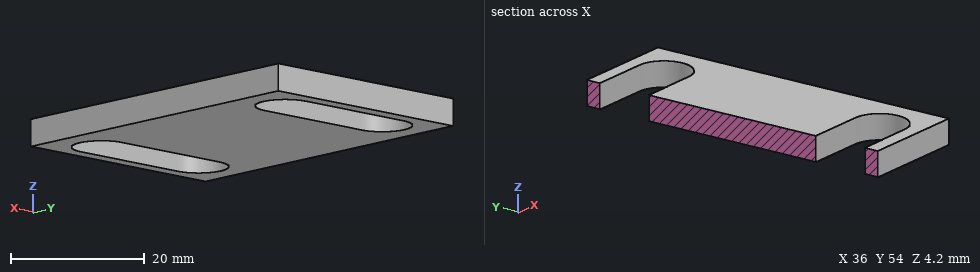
import cadquery as cq

plate_width = 36.0
plate_length = 54.0
plate_thickness = 4.2

slot_length = 29.0
slot_width = 9.0
slot_spacing = 40.0

plate = cq.Workplane("XY").box(plate_width, plate_length, plate_thickness)

slot_centers = [(0, -slot_spacing / 2), (0, slot_spacing / 2)]
slots = (
    cq.Workplane("XY")
    .pushPoints(slot_centers)
    .slot2D(slot_length, slot_width)
    .extrude(plate_thickness, both=True)
)

result = plate.cut(slots)